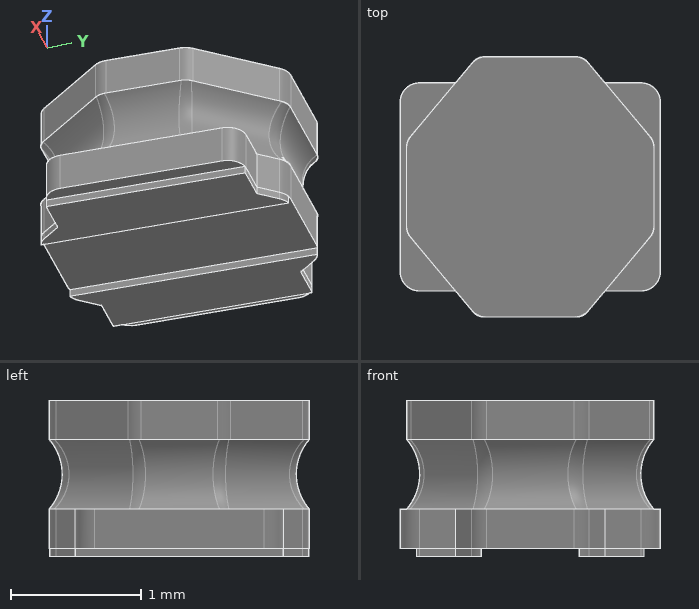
import cadquery as cq
import math

terminal_thickness = 0.06
flange_top_z = 0.365
cap_bottom_z = 0.9
top_z = 1.2

octagon_half_x = 0.95
octagon_half_y = 1
end_side_half = 0.405
flank_side_half = 0.35

corner_radius = 0.15

groove_depth = 0.1

base_length = 2
base_width = 1.6

terminal_length = 0.5
terminal_gap = 0.75

slab_reach = 2 * octagon_half_y


def octagon_prism(bottom_z, height):
    """Octagonal plate with rounded vertical corners."""
    corners = [(octagon_half_x, flank_side_half), (end_side_half, octagon_half_y)]
    corners = corners + [(-x, y) for x, y in reversed(corners)]
    corners = corners + [(-x, -y) for x, y in corners]
    return (
        cq.Workplane("XY", origin=(0, 0, bottom_z))
        .polyline(corners)
        .close()
        .extrude(height)
        .edges("|Z")
        .fillet(corner_radius)
    )


def concave_slab(half_thickness, angle):
    """Long slab whose two opposite faces, turned to the angle, are hollowed by the groove arc."""
    middle_z = (flange_top_z + cap_bottom_z) / 2
    hollow = half_thickness - groove_depth
    return (
        cq.Workplane("XZ")
        .moveTo(-half_thickness, flange_top_z)
        .lineTo(half_thickness, flange_top_z)
        .threePointArc((hollow, middle_z), (half_thickness, cap_bottom_z))
        .lineTo(-half_thickness, cap_bottom_z)
        .threePointArc((-hollow, middle_z), (-half_thickness, flange_top_z))
        .close()
        .extrude(slab_reach, both=True)
        .rotate((0, 0, 0), (0, 0, 1), angle)
    )


def make_waist():
    """Grooved octagon: four concave slabs intersected, with the mitred corners rounded."""
    slant_x = octagon_half_y - flank_side_half
    slant_y = octagon_half_x - end_side_half
    slant_angle = math.degrees(math.atan2(slant_y, slant_x))
    slant_distance = (
        octagon_half_x * slant_x + flank_side_half * slant_y
    ) / math.hypot(slant_x, slant_y)

    waist = concave_slab(octagon_half_x, 0)
    waist = waist.intersect(concave_slab(octagon_half_y, 90))
    for angle in (slant_angle, -slant_angle):
        waist = waist.intersect(concave_slab(slant_distance, angle))
    return waist.edges("not #Z").fillet(corner_radius)


def make_flange(bottom_z, height):
    """Lower flange outline: rounded base rectangle joined with the octagon."""
    base = (
        cq.Workplane("XY", origin=(0, 0, bottom_z))
        .rect(base_length, base_width)
        .extrude(height)
        .edges("|Z")
        .fillet(corner_radius)
    )
    return base.union(octagon_prism(bottom_z, height))


def make_core():
    """Drum core: lower flange, grooved waist and octagonal cap in one piece."""
    flange = make_flange(terminal_thickness, flange_top_z - terminal_thickness)
    cap = octagon_prism(cap_bottom_z, top_z - cap_bottom_z)
    return flange.union(make_waist()).union(cap)


def make_terminal(side):
    """Flat pad under the flange, trimmed to the flange outline; side is -1 or +1 along X."""
    center_x = side * (terminal_gap + terminal_length) / 2
    strip = (
        cq.Workplane("XY")
        .center(center_x, 0)
        .rect(terminal_length, 2 * octagon_half_y)
        .extrude(terminal_thickness)
    )
    return strip.intersect(make_flange(0, terminal_thickness))


core = make_core().solids().val()
terminals = [make_terminal(side).solids().val() for side in (-1, 1)]

result = cq.Compound.makeCompound([core, *terminals])